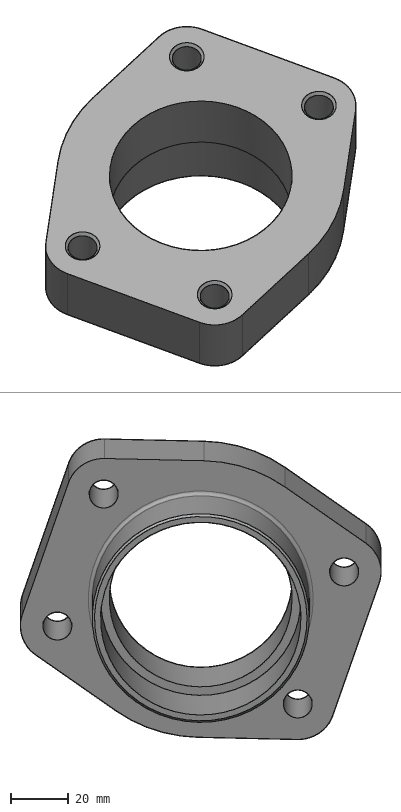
import cadquery as cq
import math

plate_length = 115.0
total_height = 50.0
plate_thickness = total_height / 2
waist_radius = 50.5
corner_radius = 13.0
bolt_spacing_x = 50.8
bolt_spacing_y = 89.0

bolt_hole_diameter = 10.1
bolt_chamfer = 1.0

spigot_diameter = 76.1
spigot_chamfer = 0.8
root_fillet = 1.4
bore_diameter = 64.0
socket_diameter = 70.3

corner_x = bolt_spacing_x / 2
corner_y = plate_length / 2 - corner_radius
spigot_height = total_height - plate_thickness


def make_plate():
    """Flange outline: four round corners joined by tangents to a round waist."""
    centre_distance = math.hypot(corner_x, corner_y)
    normal_angle = math.atan2(corner_y, corner_x) - math.acos(
        (waist_radius - corner_radius) / centre_distance
    )
    nx = math.cos(normal_angle)
    ny = math.sin(normal_angle)
    waist_x = waist_radius * nx
    waist_y = waist_radius * ny
    tangent_x = corner_x + corner_radius * nx
    tangent_y = corner_y + corner_radius * ny
    middle_angle = (normal_angle + math.pi / 2) / 2
    middle_x = corner_x + corner_radius * math.cos(middle_angle)
    middle_y = corner_y + corner_radius * math.sin(middle_angle)
    end_y = plate_length / 2

    return (
        cq.Workplane("XY", origin=(0, 0, spigot_height))
        .moveTo(waist_x, -waist_y)
        .threePointArc((waist_radius, 0), (waist_x, waist_y))
        .lineTo(tangent_x, tangent_y)
        .threePointArc((middle_x, middle_y), (corner_x, end_y))
        .lineTo(-corner_x, end_y)
        .threePointArc((-middle_x, middle_y), (-tangent_x, tangent_y))
        .lineTo(-waist_x, waist_y)
        .threePointArc((-waist_radius, 0), (-waist_x, -waist_y))
        .lineTo(-tangent_x, -tangent_y)
        .threePointArc((-middle_x, -middle_y), (-corner_x, -end_y))
        .lineTo(corner_x, -end_y)
        .threePointArc((middle_x, -middle_y), (tangent_x, -tangent_y))
        .close()
        .extrude(plate_thickness)
    )


def make_spigot():
    """Round spigot with a chamfered free end, standing below the plate."""
    return (
        cq.Workplane("XY")
        .circle(spigot_diameter / 2)
        .extrude(spigot_height)
        .faces("<Z")
        .edges()
        .chamfer(spigot_chamfer)
    )


def fillet_root(body):
    """Round the inside corner between the spigot and the plate underside."""
    root_centre = (0, 0, spigot_height)
    root_edge = cq.selectors.NearestToPointSelector(root_centre)
    return body.edges("%CIRCLE").edges(root_edge).fillet(root_fillet)


def cut_bore(body):
    """Through bore, widened to a socket inside the spigot."""
    bore = cq.Workplane("XY").circle(bore_diameter / 2).extrude(total_height)
    socket = cq.Workplane("XY").circle(socket_diameter / 2).extrude(spigot_height)
    return body.cut(bore).cut(socket)


def cut_bolt_holes(body):
    """Four through holes, chamfered at the plate's top face."""
    return (
        body.faces(">Z")
        .workplane(origin=(0, 0, total_height))
        .rect(bolt_spacing_x, bolt_spacing_y, forConstruction=True)
        .vertices()
        .cskHole(bolt_hole_diameter, bolt_hole_diameter + 2 * bolt_chamfer, 90)
    )


result = cut_bolt_holes(cut_bore(fillet_root(make_plate().union(make_spigot()))))